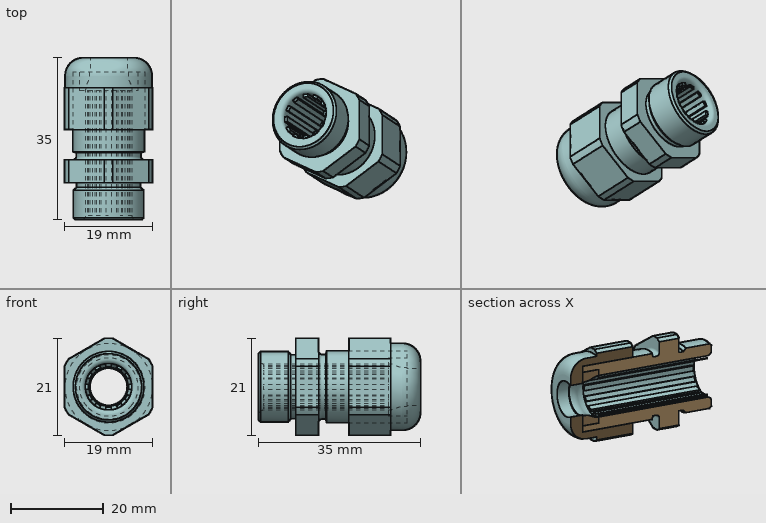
import cadquery as cq
import math

total_length = 35.0

hex_across_flats = 19.0
hex_across_corners = 21.0

thread_start = 6.4
nut_start = 8.0
nut_end = 13.0
cap_start = 19.5
cap_hex_end = 28.52
cap_cavity_end = 32.0

thread_radius = 7.63
thread_chamfer = 0.5
thread_relief_radius = 6.93
thread_relief_taper = 0.63
neck_radius = 7.0
neck_round = 0.75
collar_start = 14.7
collar_radius = 7.77
collar_taper = 0.2

bore_radius = 5.0
mouth_round = 1.0
rib_count = 12
rib_width = 1.15
rib_inner_radius = 4.38
rib_root_depth = 0.35

sleeve_length = 4.0
sleeve_radius = 6.3
sleeve_throat_radius = 4.2
throat_slope = math.radians(28)

dome_base_radius = 9.4
dome_round = 4.0
cap_hole_radius = 4.0

sleeve_start = cap_cavity_end - sleeve_length


def disc(radius, start, end):
    """Solid cylinder around the Y axis between two Y stations."""
    return cq.Workplane("XZ", origin=(0, start, 0)).circle(radius).extrude(start - end)


def hex_prism(start, end):
    """Hexagonal prism between two Y stations, with its six corners turned down to a cylinder."""
    point_radius = hex_across_flats / math.sqrt(3)
    corners = []
    for i in range(6):
        angle = math.radians(90 + 60 * i)
        corners.append((point_radius * math.cos(angle), point_radius * math.sin(angle)))
    hexagon = cq.Workplane("XZ", origin=(0, start, 0)).polyline(corners).close().extrude(start - end)
    return hexagon.intersect(disc(hex_across_corners / 2, start, end))


def turn(profile):
    """Revolve a closed (radius, Y) profile once around the Y axis."""
    return profile.close().revolve(360, (0, 0, 0), (0, 1, 0))


def make_body_outside():
    shank = turn(
        cq.Workplane("XY")
        .moveTo(0, 0)
        .lineTo(thread_radius - thread_chamfer, 0)
        .lineTo(thread_radius, thread_chamfer)
        .lineTo(thread_radius, thread_start)
        .lineTo(thread_relief_radius, thread_start + thread_relief_taper)
        .lineTo(thread_relief_radius, nut_end)
        .lineTo(neck_radius + neck_round, nut_end)
        .radiusArc((neck_radius, nut_end + neck_round), neck_round)
        .lineTo(neck_radius, collar_start - collar_taper)
        .lineTo(collar_radius, collar_start)
        .lineTo(collar_radius, cap_cavity_end)
        .lineTo(0, cap_cavity_end)
    )
    return shank.union(hex_prism(nut_start, nut_end))


def make_body_bore():
    return turn(
        cq.Workplane("XY")
        .moveTo(0, 0)
        .lineTo(bore_radius + mouth_round, 0)
        .radiusArc((bore_radius, mouth_round), mouth_round)
        .lineTo(bore_radius, sleeve_start)
        .lineTo(sleeve_radius, sleeve_start)
        .lineTo(sleeve_radius, cap_cavity_end)
        .lineTo(0, cap_cavity_end)
    )


def make_rib(angle):
    """One flat-topped rib on the bore wall, rooted inside the wall."""
    rib_root_radius = bore_radius + rib_root_depth
    return (
        cq.Workplane("XZ", origin=(0, mouth_round, 0))
        .center((rib_inner_radius + rib_root_radius) / 2, 0)
        .rect(rib_root_radius - rib_inner_radius, rib_width)
        .extrude(mouth_round - sleeve_start)
        .rotate((0, 0, 0), (0, 1, 0), angle)
    )


def make_body():
    body = make_body_outside().cut(make_body_bore())
    for i in range(rib_count):
        body = body.union(make_rib(i * 360 / rib_count))
    return body


def make_sleeve():
    """Sleeve whose bore narrows from the body bore to the throat in a smooth S of two equal arcs."""
    mid_radius = (bore_radius + sleeve_throat_radius) / 2
    s_radius = (bore_radius - mid_radius) / (1 - math.cos(throat_slope))
    arc_length = s_radius * math.sin(throat_slope)
    return turn(
        cq.Workplane("XY")
        .moveTo(sleeve_radius, sleeve_start)
        .lineTo(bore_radius, sleeve_start)
        .radiusArc((mid_radius, sleeve_start + arc_length), -s_radius)
        .radiusArc((sleeve_throat_radius, sleeve_start + 2 * arc_length), s_radius)
        .lineTo(sleeve_throat_radius, cap_cavity_end)
        .lineTo(sleeve_radius, cap_cavity_end)
    )


def make_cap():
    dome = disc(dome_base_radius, cap_start, total_length).faces(">Y").edges().fillet(dome_round)
    return (
        dome.union(hex_prism(cap_start, cap_hex_end))
        .cut(disc(collar_radius, cap_start, cap_cavity_end))
        .cut(disc(cap_hole_radius, cap_cavity_end, total_length))
    )


body = make_body()
sleeve = make_sleeve()
cap = make_cap()

result = cq.Compound.makeCompound([body.val(), sleeve.val(), cap.val()])